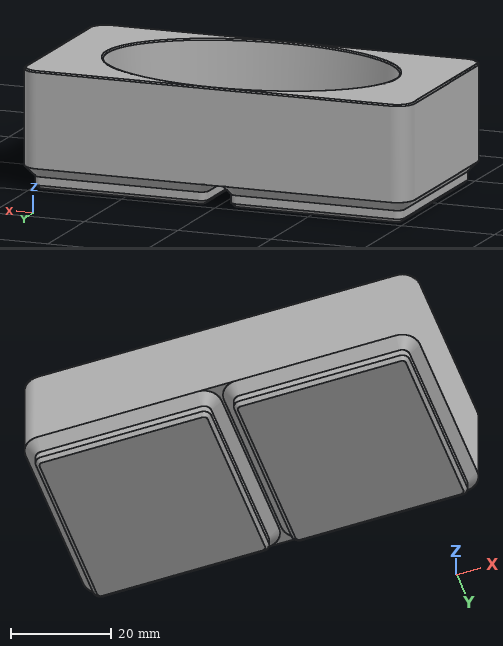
import cadquery as cq

length = 83.5
width = 41.5
height = 24.8
corner_radius = 3.75
top_chamfer = 0.3

foot_count = 2
foot_toe_chamfer = 0.8
foot_band_height = 1.75
foot_flare = 2.2
foot_height = foot_toe_chamfer + foot_band_height + foot_flare
foot_pitch = length - width

mouth_length = 61.6
mouth_width = 39.9
wall_inset = 1.7
floor_thickness = 5.8
rim_chamfer = top_chamfer


def make_body():
    """Main block above the feet, with rounded corners and a chamfered top edge."""
    return (
        cq.Workplane("XY", origin=(0, 0, foot_height))
        .rect(length, width)
        .extrude(height - foot_height)
        .edges("|Z")
        .fillet(corner_radius)
        .faces(">Z")
        .edges()
        .chamfer(top_chamfer)
    )


def rounded_frustum(bottom, inset_below, inset_above, frustum_height):
    """Slice of a foot whose square outline changes its inset from bottom to top."""

    def outline(inset):
        side = width - 2 * inset
        return cq.Sketch().rect(side, side).vertices().fillet(corner_radius - inset)

    lower = outline(inset_below)
    upper = outline(inset_above).moved(cq.Location((0, 0, frustum_height)))
    return cq.Workplane("XY", origin=(0, 0, bottom)).placeSketch(lower, upper).loft()


def make_foot():
    """Square foot: toe chamfer, straight band and a flare out to the body outline."""
    band_top = foot_toe_chamfer + foot_band_height
    toe = rounded_frustum(0, foot_flare + foot_toe_chamfer, foot_flare, foot_toe_chamfer)
    band = rounded_frustum(foot_toe_chamfer, foot_flare, foot_flare, foot_band_height)
    flare = rounded_frustum(band_top, foot_flare, 0, foot_flare)
    return toe.union(band).union(flare)


def oval_slice(bottom, slice_height, inset_below, inset_above):
    """Oval slice whose outline changes its inset from the mouth outline linearly."""
    return (
        cq.Workplane("XY", origin=(0, 0, bottom))
        .ellipse(mouth_length / 2 - inset_below, mouth_width / 2 - inset_below)
        .workplane(offset=slice_height)
        .ellipse(mouth_length / 2 - inset_above, mouth_width / 2 - inset_above)
        .loft(ruled=True)
    )


def make_pocket():
    """Tapered oval recess that opens through a chamfered rim in the top face."""
    rim_bottom = height - rim_chamfer
    recess = oval_slice(floor_thickness, rim_bottom - floor_thickness, wall_inset, 0)
    rim = oval_slice(rim_bottom, rim_chamfer, 0, -rim_chamfer)
    return recess.union(rim)


result = make_body()
foot = make_foot()
for index in range(foot_count):
    foot_x = (index - (foot_count - 1) / 2) * foot_pitch
    result = result.union(foot.translate((foot_x, 0, 0)))
result = result.cut(make_pocket())